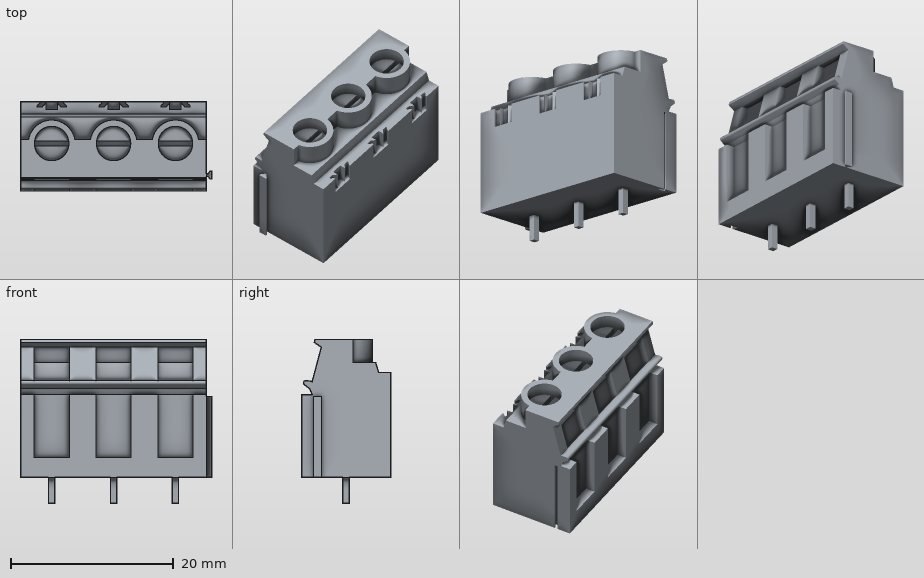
import cadquery as cq
import math


pole_count = 3
pitch = 7.62
length = pole_count * pitch
pole_centres = [(i + 0.5) * pitch for i in range(pole_count)]

depth = 11.0
height = 17.0
rear_ledge_z = 12.93
rear_ledge_y = 9.5
rear_step_z = 14.18
rear_step_y = 9.12
top_rear_y = 6.35
lip_top_y = 1.65
lip_tip_y = 1.55
lip_tip_z = 16.62
wall_top_y = 2.42
wall_top_z = 16.03
wall_foot_y = 1.3
wall_foot_z = 11.8
fin_top_y = 0.96
fin_top_z = 11.9
fin_crest_z = 11.92
fin_nose_y = 0.24
fin_nose_radius = 0.28
fin_bend_y = 0.96
fin_bend_z = 10.93
front_ledge_y = 1.32
front_ledge_z = 10.2

pocket_width = 4.35
lower_pocket_floor_z = 2.45
lower_pocket_depth = 1.2
upper_pocket_depth = 0.9
upper_pocket_back_y = 3.31
upper_pocket_sill_z = 14.18

screw_y = 5.85
boss_radius = 2.9
screw_radius = 2.12
screw_top_z = 15.23
screw_height = 2.35
slot_width = 0.63
slot_depth = 1.0

recess_depth = 2.35
recess_mouth = 1.45
recess_mouth_y = 0.16
recess_wing = 1.8
recess_wing_inner = 1.2
recess_wing_y = 0.68
recess_centre = 0.7
recess_centre_y = 0.95

rail_y = 1.97
rail_height = 9.97
rail_neck = 0.19
rail_neck_length = 0.2
rail_head = 0.5
rail_head_start = 0.45
rail_reach = 0.65

pin_width = 0.8
pin_thickness = 0.85
pin_length = 3.2
pin_y = 5.48


def extrude_along_row(sketch_points, start_x, width):
    """Prism with a (Y, Z) outline, running along X from start_x."""
    return cq.Workplane("YZ", origin=(start_x, 0, 0)).polyline(sketch_points).close().extrude(width)


def wall_y(z):
    """Y of the sloped front wall at height z."""
    slope = (wall_top_y - wall_foot_y) / (wall_top_z - wall_foot_z)
    return wall_foot_y + (z - wall_foot_z) * slope


def fin_nose_end():
    """Point where the round fin nose runs tangentially into the flat underside."""
    centre_y = fin_nose_y + fin_nose_radius
    centre_z = fin_crest_z - fin_nose_radius
    run = fin_bend_y - centre_y
    drop = centre_z - fin_bend_z
    angle = math.atan2(drop, run) + math.acos(fin_nose_radius / math.hypot(run, drop))
    return (centre_y + fin_nose_radius * math.cos(angle), centre_z - fin_nose_radius * math.sin(angle))


def housing_block():
    """Full-length block with the rear steps, the top lip and the round-nosed fin."""
    return (
        cq.Workplane("YZ")
        .moveTo(0, 0)
        .lineTo(depth, 0)
        .lineTo(depth, rear_ledge_z)
        .lineTo(rear_ledge_y, rear_ledge_z)
        .lineTo(rear_step_y, rear_step_z)
        .lineTo(top_rear_y, rear_step_z)
        .lineTo(top_rear_y, height)
        .lineTo(lip_top_y, height)
        .lineTo(lip_tip_y, lip_tip_z)
        .lineTo(wall_top_y, wall_top_z)
        .lineTo(wall_foot_y, wall_foot_z)
        .lineTo(fin_top_y, fin_top_z)
        .lineTo(fin_nose_y + fin_nose_radius, fin_crest_z)
        .threePointArc((fin_nose_y, fin_crest_z - fin_nose_radius), fin_nose_end())
        .lineTo(fin_bend_y, fin_bend_z)
        .lineTo(front_ledge_y, front_ledge_z)
        .lineTo(0, front_ledge_z)
        .close()
        .extrude(length)
    )


def screw_boss(x):
    """Round boss that carries the screw well behind the top face."""
    return (
        cq.Workplane("XY", origin=(x, screw_y, rear_step_z))
        .circle(boss_radius)
        .extrude(height - rear_step_z)
        .intersect(cq.Workplane("XY").box(length, depth - screw_y, height, centered=False)
                   .translate((0, screw_y, 0)))
    )


def screw_well(x):
    """Blind bore that holds the screw at its bottom."""
    floor_z = screw_top_z - screw_height
    return (
        cq.Workplane("XY", origin=(x, screw_y, floor_z))
        .circle(screw_radius)
        .extrude(height - floor_z)
    )


def lower_pocket(x):
    """Pocket in the lower front face, open at the front ledge."""
    outline = [
        (0, lower_pocket_floor_z),
        (lower_pocket_depth, lower_pocket_floor_z),
        (lower_pocket_depth, front_ledge_z),
        (0, front_ledge_z),
    ]
    return extrude_along_row(outline, x - pocket_width / 2, pocket_width)


def upper_pocket(x):
    """Pocket in the sloped wall: a parallel sloped floor, then a sill and an upright back."""
    foot_z = wall_foot_z - upper_pocket_depth
    outline = [
        (wall_foot_y, wall_foot_z),
        (wall_y(foot_z) + upper_pocket_depth, foot_z),
        (wall_y(upper_pocket_sill_z) + upper_pocket_depth, upper_pocket_sill_z),
        (upper_pocket_back_y, upper_pocket_sill_z),
        (upper_pocket_back_y, wall_top_z),
        (wall_top_y, wall_top_z),
    ]
    return extrude_along_row(outline, x - pocket_width / 2, pocket_width)


def rear_recess(x):
    """Winged recess sunk into the rear ledge and open at the rear face."""
    wing_flare = recess_wing - recess_mouth
    barb_y = recess_wing_y - (recess_wing_inner - recess_centre)
    half = [
        (recess_mouth, 0),
        (recess_mouth, recess_mouth_y),
        (recess_wing, recess_mouth_y + wing_flare),
        (recess_wing, recess_wing_y),
        (recess_wing_inner, recess_wing_y),
        (recess_centre, barb_y),
        (recess_centre, recess_centre_y),
    ]
    outline = [(side, -inward) for side, inward in half]
    outline += [(-side, -inward) for side, inward in reversed(half)]
    return (
        cq.Workplane("XY", origin=(x, depth, rear_ledge_z - recess_depth))
        .polyline(outline)
        .close()
        .extrude(recess_depth)
    )


def joining_rail(x):
    """Dovetail-like rail that reaches out in +X from the plane at x."""
    half = [
        (0, rail_neck),
        (rail_neck_length, rail_neck),
        (rail_head_start, rail_head),
        (rail_reach, rail_head),
    ]
    outline = half + [(out, -side) for out, side in reversed(half)]
    return cq.Workplane("XY", origin=(x, rail_y, 0)).polyline(outline).close().extrude(rail_height)


def make_housing():
    """Housing with a rail on its right end and the matching groove in its left end."""
    body = housing_block().union(joining_rail(length)).cut(joining_rail(0))
    for x in pole_centres:
        body = body.union(screw_boss(x))
        body = body.cut(screw_well(x)).cut(lower_pocket(x)).cut(upper_pocket(x)).cut(rear_recess(x))
    return body


def make_screw(x):
    """Slotted cylindrical screw that fills the bottom of its well."""
    screw = (
        cq.Workplane("XY", origin=(x, screw_y, screw_top_z - screw_height))
        .circle(screw_radius)
        .extrude(screw_height)
    )
    slot = cq.Workplane("XY", origin=(x, screw_y, screw_top_z - slot_depth / 2)).box(
        2 * screw_radius, slot_width, slot_depth
    )
    return screw.cut(slot)


def make_pin(x):
    """Rectangular solder pin that hangs from the underside of the housing."""
    return cq.Workplane("XY", origin=(x, pin_y, 0)).rect(pin_width, pin_thickness).extrude(-pin_length)


housing = make_housing()
screws = [make_screw(x) for x in pole_centres]
pins = [make_pin(x) for x in pole_centres]

result = cq.Compound.makeCompound(
    [housing.solids().val()] + [screw.val() for screw in screws] + [pin.val() for pin in pins]
)